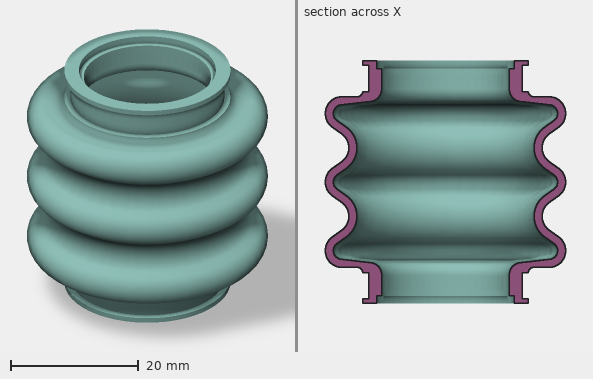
import cadquery as cq
import math

HEIGHT = 38.1
CREST_RADIUS = 18.9
VALLEY_RADIUS = 15.2
PITCH = 10.75
BEND_RADIUS = 2.65
WALL = 1.35

FLANGE_RADIUS = 13.03
FLANGE_THICKNESS = 0.8
NECK_RADIUS = 12.08
BORE_RADIUS = 10.0
RECESS_RADIUS = 10.75
RECESS_DEPTH = 1.22
SHOULDER_RADIUS = 13.03
SHOULDER_FILLET = 0.8
BORE_DEPTH = 4.5
MOUTH_ROUND = 2.0

HALF_HEIGHT = HEIGHT / 2
CREST_HEIGHTS = (PITCH, 0.0, -PITCH)
CREST_CENTER = CREST_RADIUS - BEND_RADIUS
VALLEY_CENTER = VALLEY_RADIUS + BEND_RADIUS
SHOULDER_Z = PITCH + BEND_RADIUS + SHOULDER_FILLET

CENTER_OFFSET = VALLEY_CENTER - CREST_CENTER
CENTER_DISTANCE = math.hypot(CENTER_OFFSET, PITCH / 2)
FLANK_ANGLE = math.atan2(PITCH / 2, CENTER_OFFSET) - math.acos(2 * BEND_RADIUS / CENTER_DISTANCE)


def polar(center_r, center_z, radius, angle):
    """Point at an angle on a circle in the radius-height plane."""
    return (center_r + radius * math.cos(angle), center_z + radius * math.sin(angle))


def bend(profile, center, radius, start, end):
    """Draw a line to the start of an arc, then the arc itself."""
    profile = profile.lineTo(*polar(*center, radius, start))
    middle = polar(*center, radius, (start + end) / 2)
    return profile.threePointArc(middle, polar(*center, radius, end))


def add_convolutions(profile, inset):
    """Draw the wavy wall from top to bottom, inset from the outer surface."""
    for crest_z in CREST_HEIGHTS:
        start = math.pi / 2 if crest_z == CREST_HEIGHTS[0] else FLANK_ANGLE
        end = -math.pi / 2 if crest_z == CREST_HEIGHTS[-1] else -FLANK_ANGLE
        profile = bend(profile, (CREST_CENTER, crest_z), BEND_RADIUS - inset, start, end)
        if crest_z != CREST_HEIGHTS[-1]:
            valley = (VALLEY_CENTER, crest_z - PITCH / 2)
            valley_start = math.pi - FLANK_ANGLE
            valley_end = math.pi + FLANK_ANGLE
            profile = bend(profile, valley, BEND_RADIUS + inset, valley_start, valley_end)
    return profile


def outer_body():
    """Solid envelope with end flanges, necks, shoulders and convolutions."""
    flange_z = HALF_HEIGHT - FLANGE_THICKNESS
    fillet_center = SHOULDER_RADIUS + SHOULDER_FILLET
    profile = (
        cq.Workplane("XZ")
        .moveTo(0, HALF_HEIGHT)
        .lineTo(FLANGE_RADIUS, HALF_HEIGHT)
        .lineTo(FLANGE_RADIUS, flange_z)
        .lineTo(NECK_RADIUS, flange_z)
        .lineTo(NECK_RADIUS, SHOULDER_Z)
    )
    profile = bend(profile, (fillet_center, SHOULDER_Z), SHOULDER_FILLET, math.pi, 1.5 * math.pi)
    profile = add_convolutions(profile, 0)
    profile = bend(profile, (fillet_center, -SHOULDER_Z), SHOULDER_FILLET, math.pi / 2, math.pi)
    profile = (
        profile.lineTo(NECK_RADIUS, -SHOULDER_Z)
        .lineTo(NECK_RADIUS, -flange_z)
        .lineTo(FLANGE_RADIUS, -flange_z)
        .lineTo(FLANGE_RADIUS, -HALF_HEIGHT)
        .lineTo(0, -HALF_HEIGHT)
        .close()
    )
    return profile.revolve(360, (0, 0, 0), (0, 1, 0))


def inner_cavity():
    """Recessed bores at both ends and the wavy space between them."""
    recess_z = HALF_HEIGHT - RECESS_DEPTH
    mouth_center_r = BORE_RADIUS + MOUTH_ROUND
    mouth_center_z = HALF_HEIGHT - BORE_DEPTH
    profile = (
        cq.Workplane("XZ")
        .moveTo(0, HALF_HEIGHT)
        .lineTo(RECESS_RADIUS, HALF_HEIGHT)
        .lineTo(RECESS_RADIUS, recess_z)
        .lineTo(BORE_RADIUS, recess_z)
    )
    profile = bend(profile, (mouth_center_r, mouth_center_z), MOUTH_ROUND, math.pi, 1.5 * math.pi)
    profile = add_convolutions(profile, WALL)
    profile = bend(profile, (mouth_center_r, -mouth_center_z), MOUTH_ROUND, math.pi / 2, math.pi)
    profile = (
        profile.lineTo(BORE_RADIUS, -recess_z)
        .lineTo(RECESS_RADIUS, -recess_z)
        .lineTo(RECESS_RADIUS, -HALF_HEIGHT)
        .lineTo(0, -HALF_HEIGHT)
        .close()
    )
    return profile.revolve(360, (0, 0, 0), (0, 1, 0))


result = outer_body().cut(inner_cavity())